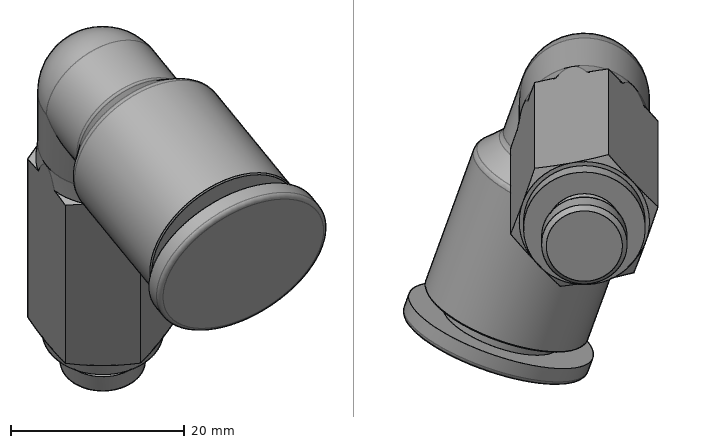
import cadquery as cq
import math


pipe_radius = 7.5
socket_diameter = 19.9
socket_radius = socket_diameter / 2
overall_height = 54.8
branch_height = overall_height - socket_radius

across_flats = 2 * pipe_radius
across_corners = across_flats / math.cos(math.pi / 6)
hex_bottom = 7.35
hex_corner_top = 33.75
hex_top = 36.5
hex_chamfer_angle = 20.0
corner_radius = across_corners / 2
chamfer_drop = (corner_radius - across_flats / 2) * math.tan(math.radians(hex_chamfer_angle))
shoulder_radius = 7.7
shoulder_rise = 0.2
shoulder_z = hex_corner_top + shoulder_rise

thread_radius = 4.95
thread_chamfer = 0.55
thread_top = 2.9
neck_radius = 4.1
neck_bottom = 3.25
neck_flare_length = 0.6
neck_flare_radius = 4.35
collar_radius = 7.0
collar_bottom = 5.35

cone_start = 7.4
cone_end = 10.25
cone_blend_radius = 1.05
socket_end = 28.05
socket_edge_chamfer = 0.15
sleeve_radius = 7.1

ring_start = 29.9
ring_end = 32.2
ring_width = 22.5
ring_height = 19.35
ring_edge_round = 0.55


def threaded_end():
    """Threaded tip, undercut neck and round collar, turned about Z."""
    profile = [
        (0, 0),
        (thread_radius - thread_chamfer, 0),
        (thread_radius, thread_chamfer),
        (thread_radius, thread_top),
        (neck_radius, neck_bottom),
        (neck_radius, collar_bottom - neck_flare_length),
        (neck_flare_radius, collar_bottom),
        (collar_radius, collar_bottom),
        (collar_radius, hex_bottom),
        (0, hex_bottom),
    ]
    return cq.Workplane("XZ").polyline(profile).close().revolve(360, (0, 0), (0, 1))


def hex_body():
    """Hexagonal bar with corners on X, trimmed by a turned envelope at both ends."""
    bar = (
        cq.Workplane("XY")
        .workplane(offset=hex_bottom)
        .polygon(6, across_corners)
        .extrude(hex_top - hex_bottom)
    )
    envelope_profile = [
        (0, hex_bottom),
        (across_flats / 2, hex_bottom),
        (corner_radius, hex_bottom + chamfer_drop),
        (corner_radius, hex_corner_top),
        (shoulder_radius, shoulder_z),
        (pipe_radius, hex_top),
        (0, hex_top),
    ]
    envelope = cq.Workplane("XZ").polyline(envelope_profile).close().revolve(360, (0, 0), (0, 1))
    return bar.intersect(envelope)


def elbow():
    """Upright pipe above the hexagon, closed by a ball at the bend."""
    upright = (
        cq.Workplane("XY")
        .workplane(offset=hex_top)
        .circle(pipe_radius)
        .extrude(branch_height - hex_top)
    )
    ball = cq.Workplane("XY").sphere(pipe_radius).translate((0, 0, branch_height))
    return upright.union(ball)


def socket():
    """Horizontal pipe widening into the tube socket, with the inner sleeve behind the ring."""
    profile = [
        (0, 0),
        (0, pipe_radius),
        (cone_start, pipe_radius),
        (cone_end, socket_radius),
        (socket_end - socket_edge_chamfer, socket_radius),
        (socket_end, socket_radius - socket_edge_chamfer),
        (socket_end, sleeve_radius),
        (ring_start, sleeve_radius),
        (ring_start, 0),
    ]
    body = cq.Workplane("XZ").polyline(profile).close().revolve(360, (0, 0), (1, 0))
    cone_rims = body.faces("%CONE").faces("<X").edges("%CIRCLE")
    return cone_rims.fillet(cone_blend_radius).translate((0, 0, branch_height))


def release_ring():
    """Oval ring, wider along Y, with a rounded outer rim."""
    ring = (
        cq.Workplane("YZ", origin=(ring_start, 0, branch_height))
        .ellipse(ring_width / 2, ring_height / 2)
        .extrude(ring_end - ring_start)
    )
    return ring.faces(">X").edges().fillet(ring_edge_round)


result = threaded_end().union(hex_body()).union(elbow()).union(socket()).union(release_ring())